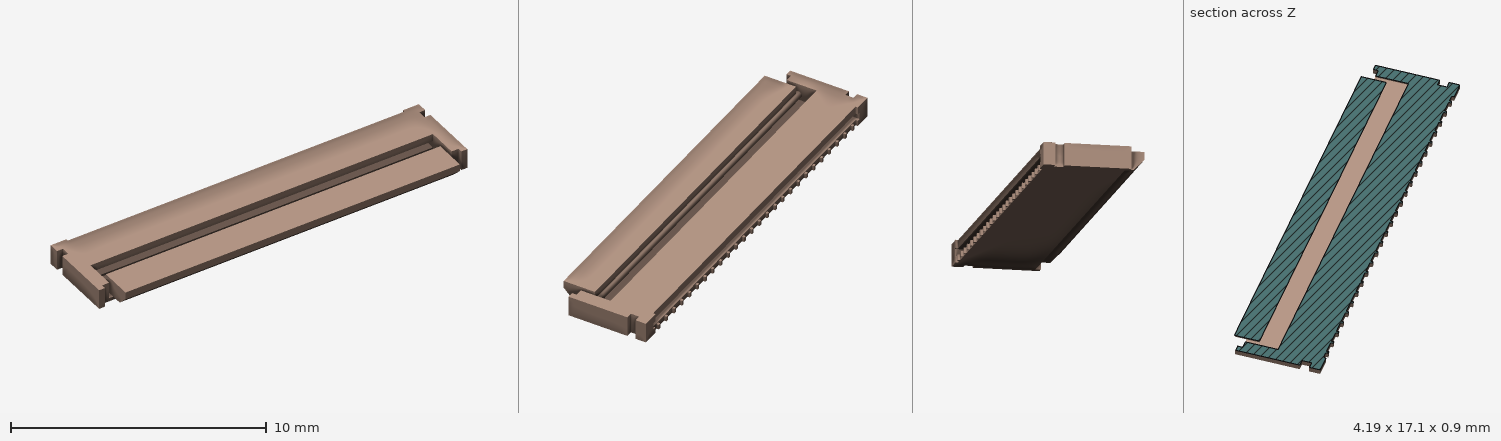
import cadquery as cq

length = 17.1
height = 0.9
body_depth = 3.3

ear_reach = 3.5
ear_width = 0.27
notch_start = 0.46
notch_width = 0.38
notch_depth = 0.27

relief_depth = 0.1
relief_length = 15.63

tail_count = 26
tail_row_length = 15.0
tail_pitch = tail_row_length / (tail_count - 1)
tail_width = 0.12
tail_height = 0.22

lever_length = 15.53
lever_end = 4.19
lever_bottom = 0.15
lever_chamfer = 0.43

cavity_start = 1.95
cavity_length = 15.9
floor_height = lever_bottom
slot_bottom = 0.25
slot_height = 0.3

shaft_diameter = slot_height
shaft_start = 2.62
shaft_axis_x = shaft_start + shaft_diameter / 2
shaft_axis_z = slot_bottom + slot_height / 2


def block(x_start, x_end, y_size, z_start, z_end, y_center=0):
    """Box between two X and two Z positions, centred on y_center."""
    return (
        cq.Workplane("XY", origin=(x_start, y_center, z_start))
        .box(x_end - x_start, y_size, z_end - z_start, centered=(False, True, False))
    )


def make_body():
    """Housing with end ears, side notches, front relief, cavity and through slot."""
    body = block(0, body_depth, length, 0, height)
    notch_end = notch_start + notch_width
    for side in (-1, 1):
        ear_y = side * (length - ear_width) / 2
        notch_y = side * (length - notch_depth) / 2
        body = body.union(block(body_depth, ear_reach, ear_width, 0, height, ear_y))
        body = body.cut(block(notch_start, notch_end, notch_depth, 0, height, notch_y))
    body = body.cut(block(0, relief_depth, relief_length, 0, height))
    body = body.cut(block(cavity_start, body_depth, cavity_length, floor_height, height))
    slot_top = slot_bottom + slot_height
    return body.cut(block(0, cavity_start, cavity_length, slot_bottom, slot_top))


def make_tails():
    """Row of contact tails in the front relief."""
    tails = cq.Workplane("XY")
    for index in range(tail_count):
        tail_y = index * tail_pitch - tail_row_length / 2
        tails = tails.union(block(0, relief_depth, tail_width, 0, tail_height, tail_y))
    return tails


def make_lever():
    """Lever plate with a chamfered lower edge, hinged on a round shaft."""
    plate = (
        cq.Workplane("XZ")
        .moveTo(shaft_axis_x, height)
        .lineTo(lever_end, height)
        .lineTo(lever_end, lever_bottom + lever_chamfer)
        .lineTo(lever_end - lever_chamfer, lever_bottom)
        .lineTo(shaft_axis_x, lever_bottom)
        .close()
        .extrude(lever_length / 2, both=True)
    )
    shaft = (
        cq.Workplane("XZ")
        .center(shaft_axis_x, shaft_axis_z)
        .circle(shaft_diameter / 2)
        .extrude(cavity_length / 2, both=True)
    )
    return plate.union(shaft)


result = make_body().union(make_tails()).union(make_lever())